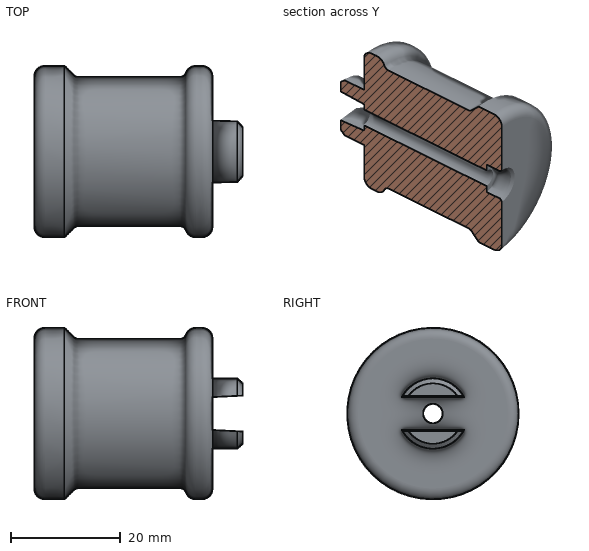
import cadquery as cq
import math

flange_radius = 31.3 / 2
barrel_radius = 27.3 / 2
body_length = 32.5
flange_step = flange_radius - barrel_radius
round_radius = 2.0
root_radius = 1.0
left_rim_end = 5.5
right_rim_length = 1.0

plug_radius = 6.4
plug_tip_radius = 5.5
plug_chamfer_length = 1.0
overall_length = 38.0
plug_overlap = 1.0
slot_base_width = 5.95
slot_tip_width = 6.5

bore_diameter = 3.5
counterbore_diameter = 6.2
counterbore_depth = 3.6
counterbore_chamfer = 0.5


def point_on_arc(center, radius, angle_degrees):
    """Point at an angle, measured from +X, on a circle in the profile plane."""
    angle = math.radians(angle_degrees)
    return (center[0] + radius * math.cos(angle), center[1] + radius * math.sin(angle))


def add_arc(profile, center, radius, start_angle, end_angle):
    """Extend a profile that has reached start_angle along a circle to end_angle."""
    middle = point_on_arc(center, radius, (start_angle + end_angle) / 2)
    end = point_on_arc(center, radius, end_angle)
    return profile.threePointArc(middle, end)


def make_body():
    """Revolve the half profile of the barrel and its two flanges."""
    left_round = (round_radius, flange_radius - round_radius)
    right_round = (body_length - round_radius, flange_radius - round_radius)
    bead_round = (right_round[0] - right_rim_length, flange_radius - round_radius)

    left_root_corner = left_rim_end + flange_step
    left_root_tangent = root_radius * math.tan(math.radians(45 / 2))
    left_root = (left_root_corner + left_root_tangent, barrel_radius + root_radius)

    root_height = barrel_radius + root_radius
    rise = root_height - bead_round[1]
    run = math.sqrt((round_radius + root_radius) ** 2 - rise ** 2)
    right_root = (bead_round[0] - run, root_height)
    contact_angle = -math.degrees(math.atan2(rise, run))

    profile = cq.Workplane("XY").moveTo(0, 0).lineTo(0, left_round[1])
    profile = add_arc(profile, left_round, round_radius, 180, 90)
    profile = profile.lineTo(left_rim_end, flange_radius)
    profile = profile.lineTo(*point_on_arc(left_root, root_radius, 225))
    profile = add_arc(profile, left_root, root_radius, 225, 270)
    profile = profile.lineTo(right_root[0], barrel_radius)
    profile = add_arc(profile, right_root, root_radius, -90, contact_angle)
    profile = add_arc(profile, bead_round, round_radius, contact_angle + 180, 90)
    profile = profile.lineTo(right_round[0], flange_radius)
    profile = add_arc(profile, right_round, round_radius, 90, 0)
    profile = profile.lineTo(body_length, 0).close()
    return profile.revolve(360, (0, 0, 0), (1, 0, 0))


def make_prongs():
    """Chamfered round plug, split into two prongs by a slot that widens toward the tip."""
    plug = (
        cq.Workplane("XY")
        .polyline([
            (body_length - plug_overlap, 0),
            (body_length - plug_overlap, plug_radius),
            (overall_length - plug_chamfer_length, plug_radius),
            (overall_length, plug_tip_radius),
            (overall_length, 0),
        ])
        .close()
        .revolve(360, (0, 0, 0), (1, 0, 0))
    )
    slot = (
        cq.Workplane("XZ")
        .polyline([
            (body_length, -slot_base_width / 2),
            (overall_length, -slot_tip_width / 2),
            (overall_length, slot_tip_width / 2),
            (body_length, slot_base_width / 2),
        ])
        .close()
        .extrude(plug_radius, both=True)
    )
    return plug.cut(slot)


def make_axial_hole():
    """Through bore with a chamfered counterbore in the left face."""
    bore_radius = bore_diameter / 2
    counterbore_radius = counterbore_diameter / 2
    return (
        cq.Workplane("XY")
        .polyline([
            (0, 0),
            (0, counterbore_radius + counterbore_chamfer),
            (counterbore_chamfer, counterbore_radius),
            (counterbore_depth, counterbore_radius),
            (counterbore_depth, bore_radius),
            (overall_length, bore_radius),
            (overall_length, 0),
        ])
        .close()
        .revolve(360, (0, 0, 0), (1, 0, 0))
    )


result = make_body().union(make_prongs()).cut(make_axial_hole())